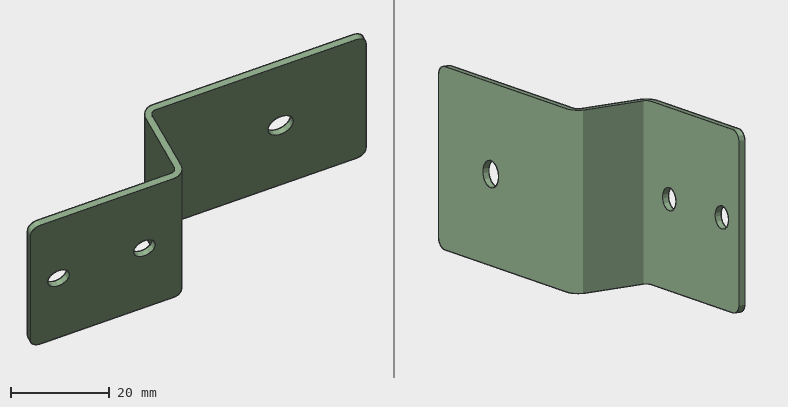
import cadquery as cq

length = 82.55
offset = 19.3
height = 38.1

thickness = 1.5
inner_radius = 1.2
outer_radius = inner_radius + thickness
corner_radius = 2.3

web_position = 33.1

long_hole_diameter = 5.6
long_hole_inset = 19.0
short_hole_diameter = 4.8
short_hole_inset = 6.3
short_hole_spacing = 19.1

web_back = web_position + thickness
short_flange_x = offset - thickness
mid_height = height / 2


def z_profile():
    """Z-shaped sheet outline with sharp bends, extruded to full height."""
    return (
        cq.Workplane("XY")
        .moveTo(0, length)
        .lineTo(0, web_position)
        .lineTo(short_flange_x, web_position)
        .lineTo(short_flange_x, 0)
        .lineTo(offset, 0)
        .lineTo(offset, web_back)
        .lineTo(thickness, web_back)
        .lineTo(thickness, length)
        .close()
        .extrude(height)
    )


def round_bend(body, x, y, radius):
    """Round the vertical edge standing at (x, y)."""
    edge = cq.selectors.NearestToPointSelector((x, y, mid_height))
    return body.edges("|Z").edges(edge).fillet(radius)


def drill(body, y, diameter, flange_x):
    """Cut a through hole along X in the flange starting at flange_x."""
    hole = cq.Workplane("YZ", origin=(flange_x, y, mid_height)).circle(diameter / 2).extrude(thickness)
    return body.cut(hole)


result = z_profile()
result = round_bend(result, 0, web_position, outer_radius)
result = round_bend(result, thickness, web_back, inner_radius)
result = round_bend(result, offset, web_back, outer_radius)
result = round_bend(result, short_flange_x, web_position, inner_radius)

for end in ("<Y", ">Y"):
    result = result.faces(end).edges("|X").fillet(corner_radius)

result = drill(result, length - long_hole_inset, long_hole_diameter, 0)
for index in range(2):
    hole_y = short_hole_inset + index * short_hole_spacing
    result = drill(result, hole_y, short_hole_diameter, short_flange_x)